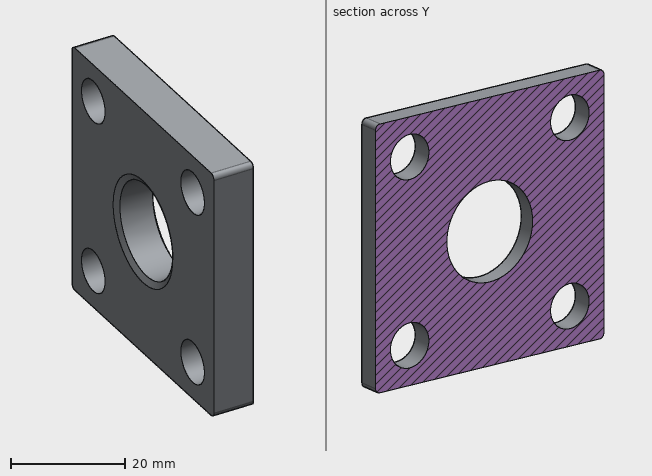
import cadquery as cq
import math

side = 50.0
thickness = 8.0
corner_radius = 1.0

bore_diameter = 18.63
bore_mouth_diameter = 21.0
flare_angle = 30.0
flare_width = (bore_mouth_diameter - bore_diameter) / 2
flare_depth = flare_width * math.tan(math.radians(flare_angle))

mount_hole_diameter = 8.3
mount_hole_spacing = 35.0


def make_plate():
    """Square plate from Y = 0 to Y = thickness with its four corner edges rounded."""
    plate = cq.Workplane("XY").box(side, thickness, side).translate((0, thickness / 2, 0))
    return plate.edges("|Y").fillet(corner_radius)


def make_bore_cutter():
    """Solid of revolution about the Y axis that fills the bore and both flares."""
    bore_radius = bore_diameter / 2
    mouth_radius = bore_mouth_diameter / 2
    half_profile = [
        (0, 0),
        (mouth_radius, 0),
        (bore_radius, flare_depth),
        (bore_radius, thickness - flare_depth),
        (mouth_radius, thickness),
        (0, thickness),
    ]
    return cq.Workplane("XY").polyline(half_profile).close().revolve(360, (0, 0, 0), (0, 1, 0))


def cut_mount_holes(plate):
    """Plain through holes at the corners of the square pattern."""
    return (
        plate.faces("<Y")
        .workplane(origin=(0, 0, 0))
        .rect(mount_hole_spacing, mount_hole_spacing, forConstruction=True)
        .vertices()
        .hole(mount_hole_diameter)
    )


bored_plate = make_plate().cut(make_bore_cutter())
result = cut_mount_holes(bored_plate)